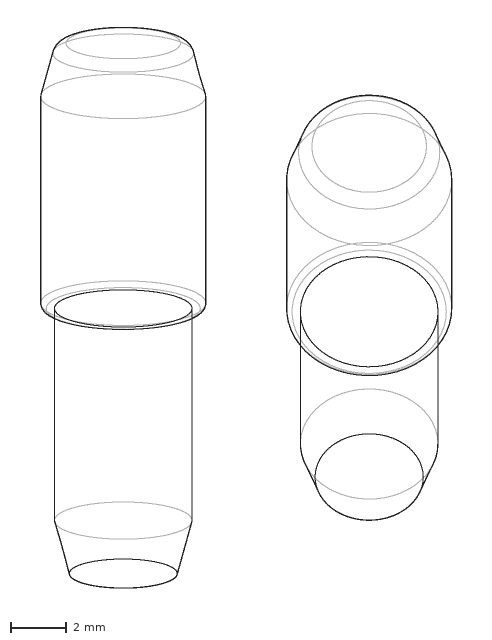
import cadquery as cq
import math

total_length = 20.0
head_diameter = 6.0
shank_diameter = 5.0
head_length = total_length / 2
shank_length = total_length - head_length

taper_length = 2.0
taper_angle = 15.0
top_fillet = 0.5
shoulder_fillet = 0.2

head_radius = head_diameter / 2
shank_radius = shank_diameter / 2
taper_inset = taper_length * math.tan(math.radians(taper_angle))


def pin_body():
    """Stepped round pin with a tapered lead-in at both ends, standing on Z = 0."""
    half_profile = [
        (0, 0),
        (shank_radius - taper_inset, 0),
        (shank_radius, taper_length),
        (shank_radius, shank_length),
        (head_radius, shank_length),
        (head_radius, total_length - taper_length),
        (head_radius - taper_inset, total_length),
        (0, total_length),
    ]
    return cq.Workplane("XZ").polyline(half_profile).close().revolve(360, (0, 0, 0), (0, 1, 0))


def round_head_edges(body):
    """Round the top rim and the outer edge of the shoulder under the head."""
    body = body.faces(">Z").edges().fillet(top_fillet)
    shoulder_rim = cq.selectors.RadiusNthSelector(-1)
    shoulder = body.faces(cq.selectors.NearestToPointSelector((0, 0, shank_length)))
    return shoulder.edges(shoulder_rim).fillet(shoulder_fillet)


result = round_head_edges(pin_body())